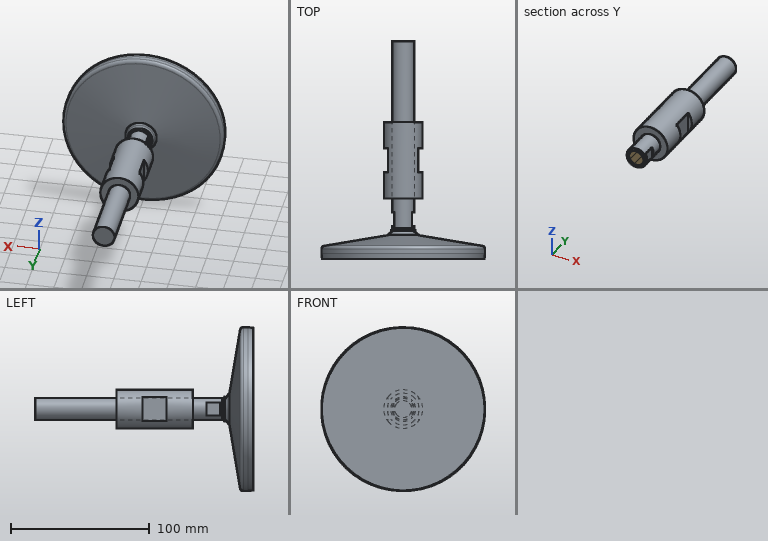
import cadquery as cq

TOTAL_LENGTH = 157.0

foot_diameter = 118.0
foot_radius = foot_diameter / 2
sole_radius = 58.5
sole_y = 0.0
taper_end_y = 4.0
rim_end_y = 7.2
shoulder_y = 9.7
shoulder_radius = 56.5
arc_mid_radius = 58.2
arc_mid_y = 9.0
neck_base_y = 17.3
neck_base_radius = 11.5
neck_flare_y = 18.4
neck_flare_radius = 10.0
neck_top_y = 20.3
neck_top_radius = 7.7
lip_y = 20.7
lip_radius = 9.0
lip_root_y = 21.2
lip_root_radius = 8.0
collar_y = 22.0
collar_radius = 6.1

spindle_diameter = 16.0
spindle_radius = spindle_diameter / 2
spindle_start_y = 22.5
spindle_flats_start = 24.0
spindle_flats_end = 33.6
spindle_across_flats = 13.0

sleeve_diameter = 28.0
sleeve_radius = sleeve_diameter / 2
sleeve_start_y = 43.5
sleeve_end_y = 98.6
sleeve_flats_start = 62.6
sleeve_flats_end = 79.8
sleeve_across_flats = 22.0


def cylinder_along_y(radius, start_y, end_y):
    """Solid cylinder on the Y axis between two stations."""
    plane = cq.Plane(origin=(0, start_y, 0), xDir=(1, 0, 0), normal=(0, 1, 0))
    return cq.Workplane(plane).circle(radius).extrude(end_y - start_y)


def cut_flats(body, diameter, across_flats, start_y, end_y):
    """Cut two parallel flats, facing -X and +X, between two stations."""
    depth = (diameter - across_flats) / 2
    for side in (-1, 1):
        cutter = cq.Workplane("XY").box(2 * depth, end_y - start_y, diameter).translate(
            (side * (across_flats / 2 + depth), (start_y + end_y) / 2, 0)
        )
        body = body.cut(cutter)
    return body


def make_foot():
    """Revolve the half profile of the foot about the Y axis."""
    return (
        cq.Workplane("XY")
        .moveTo(0, sole_y)
        .lineTo(sole_radius, sole_y)
        .lineTo(foot_radius, taper_end_y)
        .lineTo(foot_radius, rim_end_y)
        .threePointArc((arc_mid_radius, arc_mid_y), (shoulder_radius, shoulder_y))
        .lineTo(neck_base_radius, neck_base_y)
        .lineTo(neck_flare_radius, neck_flare_y)
        .lineTo(neck_top_radius, neck_top_y)
        .lineTo(lip_radius, lip_y)
        .lineTo(lip_root_radius, lip_root_y)
        .lineTo(collar_radius, collar_y)
        .lineTo(collar_radius, spindle_start_y)
        .lineTo(0, spindle_start_y)
        .close()
        .revolve(360, (0, 0, 0), (0, 1, 0))
    )


def make_spindle():
    """Plain round rod standing on the neck of the foot."""
    rod = cylinder_along_y(spindle_radius, spindle_start_y, TOTAL_LENGTH)
    return cut_flats(
        rod, spindle_diameter, spindle_across_flats, spindle_flats_start, spindle_flats_end
    )


def make_sleeve():
    """Tube fitted on the spindle."""
    tube = cylinder_along_y(sleeve_radius, sleeve_start_y, sleeve_end_y)
    tube = tube.cut(cylinder_along_y(spindle_radius, sleeve_start_y, sleeve_end_y))
    return cut_flats(tube, sleeve_diameter, sleeve_across_flats, sleeve_flats_start, sleeve_flats_end)


foot = make_foot()
spindle = make_spindle()
sleeve = make_sleeve()

result = cq.Compound.makeCompound([foot.val(), spindle.val(), sleeve.val()])